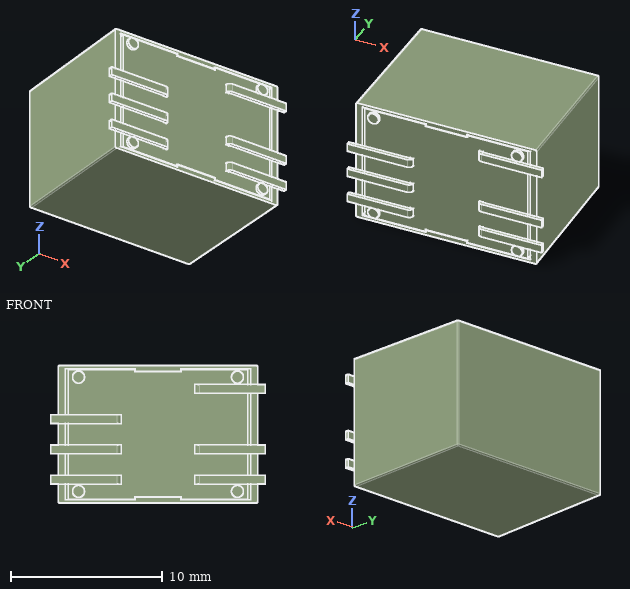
import cadquery as cq
import math


HOUSING_WIDTH = 13.2
HOUSING_HEIGHT = 9.1
HOUSING_DEPTH = 9.9
DRAFT_ANGLE = 0.5
EDGE_RADIUS = 0.1
SIDE_WALL = 0.45
TOP_WALL = 0.23

BASE_THICKNESS = 1.0
SIDE_GAP = 0.2
FIT_GAP = 0.04
TAB_WIDTH = 3.01
TAB_HEIGHT = 0.15
OPENING_WIDTH = HOUSING_WIDTH - 2 * SIDE_WALL
OPENING_HEIGHT = HOUSING_HEIGHT - 2 * TOP_WALL
BASE_WIDTH = OPENING_WIDTH - 2 * SIDE_GAP
BASE_HEIGHT = OPENING_HEIGHT - 2 * FIT_GAP

STUD_RADIUS = 0.4
STUD_LENGTH = 0.2
STUD_SPACING_X = 10.51
STUD_SPACING_Z = 7.55

LEAD_SPAN = 14.2
LEAD_WIDTH = 0.6
LEAD_THICKNESS = 0.25
LEAD_INNER_RADIUS = 0.04
LEAD_LENGTH = 4.69
LEAD_PITCH = 2.0
LEAD_OUTER_RADIUS = LEAD_INNER_RADIUS + LEAD_THICKNESS
LEFT_LEAD_ROWS = (-1.5, -0.5, 0.5)
RIGHT_LEAD_ROWS = (-1.5, -0.5, 1.5)

OPEN_FACE = cq.Plane(origin=(0, 0, 0), xDir=(-1, 0, 0), normal=(0, 1, 0))


def notched_block(width, height, notch_width, notch_depth):
    """Block one base thickness deep, notched in the middle of its top and bottom edges."""
    block = cq.Workplane(OPEN_FACE).rect(width, height).extrude(BASE_THICKNESS)
    notches = (
        cq.Workplane(OPEN_FACE)
        .pushPoints([(0, height / 2), (0, -height / 2)])
        .rect(notch_width, 2 * notch_depth)
        .extrude(BASE_THICKNESS)
    )
    return block.cut(notches)


def make_housing():
    shell = (
        cq.Workplane(OPEN_FACE)
        .rect(HOUSING_WIDTH, HOUSING_HEIGHT)
        .extrude(HOUSING_DEPTH, taper=DRAFT_ANGLE)
        .edges("not <Y")
        .fillet(EDGE_RADIUS)
    )
    recess = notched_block(OPENING_WIDTH, OPENING_HEIGHT, TAB_WIDTH, TAB_HEIGHT)
    return shell.cut(recess)


def make_lead(side, row):
    """Lead on the -X side (side = -1) or the +X side (side = 1), at a row counted in pitches."""
    tip_x = -LEAD_SPAN / 2
    leg_x = tip_x + LEAD_LENGTH
    bend_x = leg_x - LEAD_OUTER_RADIUS
    outer_bend = LEAD_OUTER_RADIUS * math.sqrt(0.5)
    inner_bend = LEAD_INNER_RADIUS * math.sqrt(0.5)
    lead = (
        cq.Workplane("XY")
        .moveTo(tip_x, -LEAD_OUTER_RADIUS)
        .lineTo(bend_x, -LEAD_OUTER_RADIUS)
        .threePointArc((bend_x + outer_bend, -outer_bend), (leg_x, 0))
        .lineTo(leg_x, BASE_THICKNESS)
        .lineTo(leg_x - LEAD_THICKNESS, BASE_THICKNESS)
        .lineTo(leg_x - LEAD_THICKNESS, 0)
        .threePointArc((bend_x + inner_bend, -inner_bend), (bend_x, -LEAD_INNER_RADIUS))
        .lineTo(tip_x, -LEAD_INNER_RADIUS)
        .close()
        .extrude(LEAD_WIDTH / 2, both=True)
    )
    if side > 0:
        lead = lead.mirror("YZ")
    return lead.translate((0, 0, row * LEAD_PITCH))


def make_base(leads):
    plate = notched_block(BASE_WIDTH, BASE_HEIGHT, TAB_WIDTH + 2 * FIT_GAP, TAB_HEIGHT)
    studs = (
        cq.Workplane(OPEN_FACE)
        .rarray(STUD_SPACING_X, STUD_SPACING_Z, 2, 2)
        .circle(STUD_RADIUS)
        .extrude(-STUD_LENGTH)
    )
    base = plate.union(studs)
    for lead in leads:
        base = base.cut(lead)
    return base


housing = make_housing()
leads = [make_lead(-1, row) for row in LEFT_LEAD_ROWS]
leads += [make_lead(1, row) for row in RIGHT_LEAD_ROWS]
base = make_base(leads)

result = cq.Compound.makeCompound([housing.val(), base.val(), *[lead.val() for lead in leads]])